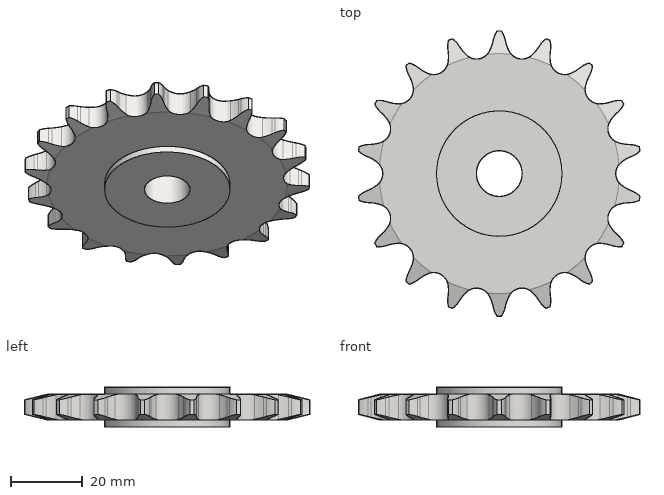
import cadquery as cq
import math

INCH = 25.4
TEETH = 18
PITCH = INCH / 2
ROLLER_DIAMETER = 0.312 * INCH

PLATE_THICKNESS = 0.284 * INCH
HUB_LENGTH = 11.13
HUB_DIAMETER = 35.0
BORE_DIAMETER = 12.7

BEVEL_HEIGHT = PITCH / 8
BEVEL_REACH = PITCH / 2

HALF_TOOTH = math.pi / TEETH
PITCH_RADIUS = PITCH / (2 * math.sin(HALF_TOOTH))
OUTER_RADIUS = PITCH * (0.6 + 1 / math.tan(HALF_TOOTH)) / 2

SEATING_CLEARANCE = 0.003 * INCH
SEATING_RADIUS = (1.005 * ROLLER_DIAMETER + SEATING_CLEARANCE) / 2
SEATING_ANGLE = math.radians(35 + 60 / TEETH)
WORKING_ANGLE = math.radians(18 - 56 / TEETH)
WORKING_OFFSET = 0.8 * ROLLER_DIAMETER
WORKING_RADIUS = WORKING_OFFSET + SEATING_RADIUS
TOPPING_OFFSET = 1.4 * ROLLER_DIAMETER
TOPPING_ANGLE = math.radians(17 - 64 / TEETH)
TOPPING_RADIUS = (
    WORKING_OFFSET * math.cos(WORKING_ANGLE)
    + TOPPING_OFFSET * math.cos(TOPPING_ANGLE)
    - WORKING_RADIUS
)


def polar(center, radius, angle):
    """Point at a radius and an angle (radians) around a center."""
    return (center[0] + radius * math.cos(angle), center[1] + radius * math.sin(angle))


def mirrored(point):
    return (-point[0], point[1])


def turned(point, angle):
    """Point turned about the sprocket axis by an angle in radians."""
    return polar((0, 0), math.hypot(*point), math.atan2(point[1], point[0]) + angle)


def tip_angle(topping_center):
    """Angle around the topping center where the topping arc meets the outer circle."""
    distance = math.hypot(*topping_center)
    cosine = (distance**2 + TOPPING_RADIUS**2 - OUTER_RADIUS**2) / (2 * distance * TOPPING_RADIUS)
    toward_axis = math.pi + math.atan2(topping_center[1], topping_center[0])
    return toward_axis - math.acos(cosine)


def right_flank():
    """Right half of a tooth gap centred on +Y, as points from the seating arc to the tip."""
    seat_center = (0, PITCH_RADIUS)
    working_center = polar(seat_center, WORKING_OFFSET, math.pi - SEATING_ANGLE)
    topping_center = polar(seat_center, TOPPING_OFFSET, -HALF_TOOTH)

    flank_normal = WORKING_ANGLE - SEATING_ANGLE
    topping_start = math.pi + flank_normal
    topping_end = tip_angle(topping_center)
    return {
        "seat_end": polar(seat_center, SEATING_RADIUS, -SEATING_ANGLE),
        "working_mid": polar(working_center, WORKING_RADIUS, WORKING_ANGLE / 2 - SEATING_ANGLE),
        "working_end": polar(working_center, WORKING_RADIUS, flank_normal),
        "flank_end": polar(topping_center, TOPPING_RADIUS, topping_start),
        "topping_mid": polar(topping_center, TOPPING_RADIUS, (topping_start + topping_end) / 2),
        "tip": polar(topping_center, TOPPING_RADIUS, topping_end),
    }


def tooth_profile():
    """Closed outline of all teeth on the lower face of the plate, built gap by gap clockwise."""
    right = right_flank()
    left = {name: mirrored(point) for name, point in right.items()}
    root = (0, PITCH_RADIUS - SEATING_RADIUS)
    tip_mid = turned((0, OUTER_RADIUS), -HALF_TOOTH)

    first_gap = HALF_TOOTH
    bottom = cq.Workplane("XY", origin=(0, 0, -PLATE_THICKNESS / 2))
    outline = bottom.moveTo(*turned(left["tip"], first_gap))
    for index in range(TEETH):
        angle = first_gap - 2 * HALF_TOOTH * index
        next_tip = turned(left["tip"], angle - 2 * HALF_TOOTH)
        outline = (
            outline
            .threePointArc(turned(left["topping_mid"], angle), turned(left["flank_end"], angle))
            .lineTo(*turned(left["working_end"], angle))
            .threePointArc(turned(left["working_mid"], angle), turned(left["seat_end"], angle))
            .threePointArc(turned(root, angle), turned(right["seat_end"], angle))
            .threePointArc(turned(right["working_mid"], angle), turned(right["working_end"], angle))
            .lineTo(*turned(right["flank_end"], angle))
            .threePointArc(turned(right["topping_mid"], angle), turned(right["tip"], angle))
            .threePointArc(turned(tip_mid, angle), next_tip)
        )
    return outline.close()


def bevelled_disc():
    """Disc whose rim tapers to the tooth tips on both faces."""
    half_plate = PLATE_THICKNESS / 2
    half_tip = half_plate - BEVEL_HEIGHT
    bevel_start = OUTER_RADIUS - BEVEL_REACH
    rim_margin = 0.5
    rim_radius = OUTER_RADIUS + rim_margin
    half_rim = half_tip - rim_margin * BEVEL_HEIGHT / BEVEL_REACH
    section = [
        (0, -half_plate),
        (bevel_start, -half_plate),
        (rim_radius, -half_rim),
        (rim_radius, half_rim),
        (bevel_start, half_plate),
        (0, half_plate),
    ]
    return cq.Workplane("XZ").polyline(section).close().revolve(360, (0, 0), (0, 1))


def cylinder(diameter):
    """Cylinder on the sprocket axis, as long as the hub."""
    bottom = cq.Workplane("XY", origin=(0, 0, -HUB_LENGTH / 2))
    return bottom.circle(diameter / 2).extrude(HUB_LENGTH)


toothed_plate = tooth_profile().extrude(PLATE_THICKNESS).intersect(bevelled_disc())
result = toothed_plate.union(cylinder(HUB_DIAMETER)).cut(cylinder(BORE_DIAMETER))